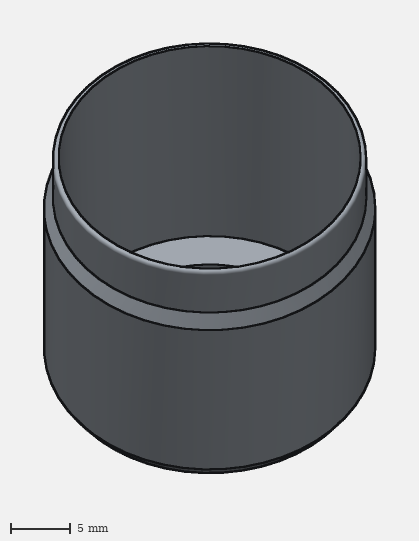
import cadquery as cq

body_diameter = 28.0
height = 25.0

neck_diameter = 26.5
neck_length = 4.95
shoulder_height = 1.37
base_chamfer_height = 1.3
rim_fillet = 0.3

bore_diameter = 25.5
opening_diameter = 19.0
floor_thickness = 1.3

body_radius = body_diameter / 2
neck_radius = neck_diameter / 2
bore_radius = bore_diameter / 2
opening_radius = opening_diameter / 2
neck_bottom = height - neck_length
shoulder_bottom = neck_bottom - shoulder_height


def sleeve():
    """Revolve the half section (radius, height) about the Z axis."""
    section = (
        cq.Workplane("XZ")
        .moveTo(opening_radius, 0)
        .lineTo(neck_radius, 0)
        .lineTo(body_radius, base_chamfer_height)
        .lineTo(body_radius, shoulder_bottom)
        .lineTo(neck_radius, neck_bottom)
        .lineTo(neck_radius, height)
        .lineTo(bore_radius, height)
        .lineTo(bore_radius, floor_thickness)
        .lineTo(opening_radius, floor_thickness)
        .close()
    )
    return section.revolve(360, (0, 0, 0), (0, 1, 0))


outer_rim = cq.selectors.RadiusNthSelector(-1)
result = sleeve().faces(">Z").edges(outer_rim).fillet(rim_fillet)